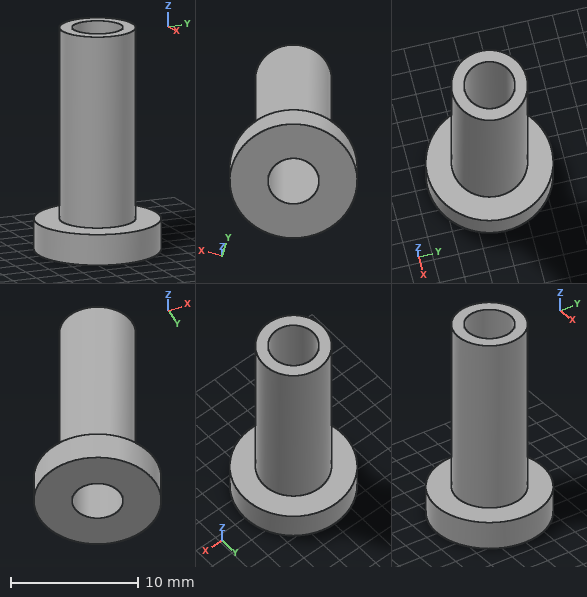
import cadquery as cq

total_height = 18.0
flange_diameter = 10.0
flange_thickness = 2.5
sleeve_diameter = 6.0
bore_diameter = 4.0

flange = cq.Workplane("XY").circle(flange_diameter / 2).extrude(flange_thickness)

sleeve = cq.Workplane("XY").circle(sleeve_diameter / 2).extrude(total_height)

bore = cq.Workplane("XY").circle(bore_diameter / 2).extrude(total_height)

result = flange.union(sleeve).cut(bore)